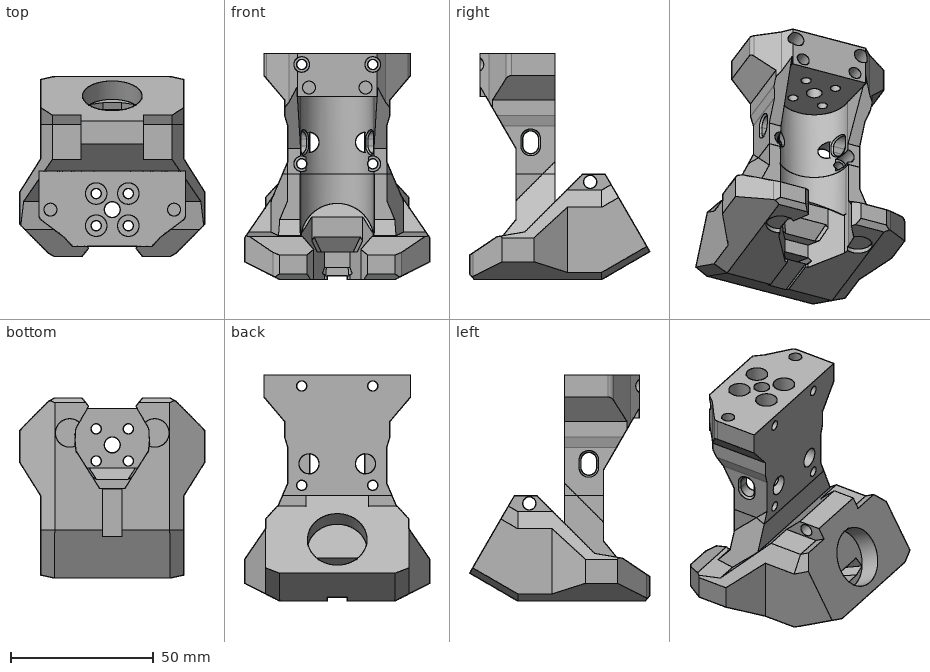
import cadquery as cq
import math

TOP_Z = 79.35
SPLIT_Z = 37.0
BIG = 158.7
SWEEP_RUN = 31.75

COLUMN_BACK_Y = 13.5
COLUMN_FRONT_Y = -0.2
COLUMN_HALF = 17.4
COLUMN_ROOT_Z = 11.9
FOOT_TOP_Z = 21.1
FOOT_DEPTH = 5.55
FOOT_DROP = 6.8
FLARE_TOP_Z = 41.4
FLARE_DROP = 20.6
FLARE_SPREAD = 8.7
BORE_R = 12.85
MOUTH_HALF = 14.2

PLATE_HALF = 25.7
PLATE_FRONT_Y = -12.85
PLATE_FRONT_HALF = 14.0
PLATE_CORNER_Y = -3.0
PLATE_CORNER_R = 2.4
PLATE_KNEE = (16.9, -9.7)
PLATE_SIDE_Z = 71.6
NECK_HALF = 18.5
NECK_TOP_Z = 63.0
NECK_LOW_Z = 57.5
COLUMN_TOP_Z = 53.9
BORE_TOP_Z = 64.2
SLANT_LOW_Z = 45.95
SLANT_ANGLE = 60.0

MOTOR_PITCH = 11.3
MOTOR_SCREW_D = 3.5
MOTOR_HEAD_D = 7.5
MOTOR_FLOOR = 5.95
CENTER_HOLE_D = 5.5
INSERT_D = 4.5
INSERT_DEPTH = 6.35
PLATE_INSERT_X = 21.7
FRONT_INSERT_X = 9.9
FRONT_INSERT_Z = 67.4

MOUNT_X = 12.45
MOUNT_ZS = (75.5, 40.6)
MOUNT_SCREW_D = 3.5
MOUNT_HEAD_D = 5.5
MOUNT_SEAT_Y = 6.6

WINDOW_Y = 4.9
WINDOW_Z = 48.2
WINDOW_W = 5.5
WINDOW_H = 7.9
WINDOW_OUTER_RIM = 0.7
WINDOW_BORE_RIM = 0.5
WINDOW_MARGIN = 0.4
REAR_POCKET_D = 7.0
REAR_POCKET_X = 9.9
REAR_POCKET_FLOOR_Y = 8.6

BASE_WIDTH = 65.0
BASE_HALF = BASE_WIDTH / 2
TAIL_HALF = 25.15
BOTTOM_HALF = 20.15
SIDE_LOW_Z = 6.3
SIDE_HIGH_Z = 14.7
SHOULDER_HALF = 21.0
SHOULDER_Z = 31.4
LUG_HALF = 11.0
BASE_FRONT_Y = -16.5
FRONT_LOW_Z = 2.0
FRONT_LOW_RUN = 1.7
FRONT_HIGH_Z = 8.65
ARM_CREST = (-6.9, 15.1)
SLOPE_FOOT = (2.85, 16.75)
TAIL_START_Y = 17.8
CHEEK_START_Y = 6.1
CHEEK_END_Y = -5.1
ARM_CORNER = (22.45, -15.2)
ARM_TIP_OUTER = 20.3
BEND_Y = 29.8
TAIL_ANGLE = 30.0
TAIL_TIP = (46.7, 9.8)
LUG_HOLE_Y = 25.8
LUG_HOLE_Z = 34.3

SLOT_BACK_HALF = 4.45
SLOT_BACK_Y = 15.2
SLOT_HALF = 13.1
SLOT_KNEE = (12.6, 2.2)
SLOT_BEND = (12.8, -5.8)
SLOT_THROAT = (8.25, -13.6)
SLOT_MOUTH_HALF = 10.6
LIP_Y = 8.1
LIP_Z = 14.9
TUNNEL_KNEE_Y = 12.1
TUNNEL_Z = 9.7
TUNNEL_CHAMFER = 0.8

ARM_POCKET_X = 14.9
ARM_POCKET_Y = -4.2
ARM_POCKET_R = 5.0
ARM_POCKET_DEPTH = 1.75

FAN_D = 20.9
FAN_Y = 39.9
FAN_DEPTH = 7.45
DUCT_INLET = [(3.2, -8.1), (7.7, -6.9), (6.75, -3.2)]
DUCT_OUTLET = [(4.1, 0.8), (5.2, 2.2), (4.4, 3.6)]
DUCT_OUTLET_Y = 14.1
GROOVE_HALF = 3.5
GROOVE_DEPTH = 1.35


def mirrored(half_outline):
    """Close an outline given along its +X half by mirroring it in X = 0."""
    return half_outline + [(-x, v) for x, v in reversed(half_outline)]


def plan_prism(points, low_z, high_z):
    """Extrude an (X, Y) outline upright."""
    return cq.Workplane("XY").workplane(offset=low_z).polyline(points).close().extrude(high_z - low_z)


def side_prism(points, half_width):
    """Extrude a (Y, Z) outline across the part."""
    return cq.Workplane("YZ").polyline(points).close().extrude(half_width, both=True)


def front_prism(points, start_y, end_y):
    """Extrude an (X, Z) outline along Y from start_y to end_y."""
    plane = cq.Workplane("XZ", origin=(0, start_y, 0))
    return plane.polyline(points).close().extrude(start_y - end_y)


def skew_prism(points, start_y, direction):
    """Sweep an (X, Z) outline at start_y straight along a direction that need not be square to it."""
    wire = cq.Wire.makePolygon([cq.Vector(x, start_y, z) for x, z in points], close=True)
    return cq.Workplane(obj=cq.Solid.extrudeLinear(wire, [], cq.Vector(*direction)))


def rod_y(diameter, x, z, start_y, end_y):
    """Round rod along Y."""
    start = cq.Vector(x, start_y, z)
    along_y = cq.Vector(0, 1, 0)
    return cq.Workplane(obj=cq.Solid.makeCylinder(diameter / 2, end_y - start_y, start, along_y))


def make_flare():
    """Side flare that widens the column downward, running along the 45 degree back slope."""
    outline = mirrored([
        (COLUMN_HALF, FLARE_TOP_Z),
        (COLUMN_HALF + FLARE_SPREAD, FLARE_TOP_Z - FLARE_DROP),
    ])
    return skew_prism(outline, COLUMN_BACK_Y, (0, -SWEEP_RUN, -SWEEP_RUN))


def make_bore(low_z, high_z):
    """Round motor bore."""
    return cq.Workplane("XY").workplane(offset=low_z).circle(BORE_R).extrude(high_z - low_z)


def mouth_outline():
    """Plan of the opening in front of the bore; it widens toward the front."""
    return mirrored([(BORE_R, 0), (MOUTH_HALF, PLATE_FRONT_Y)])


def plate_plan():
    """Plan of the top plate as a full height prism with rounded side corners."""
    outline = mirrored([
        (PLATE_HALF, COLUMN_BACK_Y),
        (PLATE_HALF, PLATE_CORNER_Y),
        PLATE_KNEE,
        (PLATE_FRONT_HALF, PLATE_FRONT_Y),
    ])
    prism = plan_prism(outline, SPLIT_Z, TOP_Z)
    corner = cq.selectors.BoxSelector(
        (-PLATE_HALF - 0.8, PLATE_CORNER_Y - 0.8, SPLIT_Z), (PLATE_HALF + 0.8, PLATE_CORNER_Y + 0.8, TOP_Z))
    return prism.edges("|Z").edges(corner).fillet(PLATE_CORNER_R)


def head_front_profile():
    """(X, Z) outline: column, neck and plate."""
    return mirrored([
        (COLUMN_HALF, SPLIT_Z),
        (COLUMN_HALF, COLUMN_TOP_Z),
        (NECK_HALF, NECK_LOW_Z),
        (NECK_HALF, NECK_TOP_Z),
        (PLATE_HALF, PLATE_SIDE_Z),
        (PLATE_HALF, TOP_Z),
    ])


def head_side_profile():
    """(Y, Z) outline with the front face leaning forward."""
    reach = COLUMN_FRONT_Y - PLATE_FRONT_Y
    slant_top_z = SLANT_LOW_Z + reach * math.tan(math.radians(SLANT_ANGLE))
    return [
        (COLUMN_BACK_Y, SPLIT_Z),
        (COLUMN_FRONT_Y, SPLIT_Z),
        (COLUMN_FRONT_Y, SLANT_LOW_Z),
        (PLATE_FRONT_Y, slant_top_z),
        (PLATE_FRONT_Y, TOP_Z),
        (COLUMN_BACK_Y, TOP_Z),
    ]


def cut_plate_holes(head):
    """Motor screws, shaft hole and threaded inserts in the top and front faces."""
    top = cq.Workplane("XY", origin=(0, 0, TOP_Z))
    half = MOTOR_PITCH / 2
    corners = [(sx * half, sy * half) for sx in (-1, 1) for sy in (-1, 1)]
    thickness = TOP_Z - BORE_TOP_Z
    head = head.cut(top.pushPoints(corners).circle(MOTOR_SCREW_D / 2).extrude(-thickness))
    head = head.cut(top.pushPoints(corners).circle(MOTOR_HEAD_D / 2).extrude(MOTOR_FLOOR - thickness))
    head = head.cut(top.circle(CENTER_HOLE_D / 2).extrude(-thickness))
    for side in (-1, 1):
        insert = top.center(side * PLATE_INSERT_X, 0).circle(INSERT_D / 2).extrude(-INSERT_DEPTH)
        head = head.cut(insert)
        head = head.cut(rod_y(INSERT_D, side * FRONT_INSERT_X, FRONT_INSERT_Z,
                              PLATE_FRONT_Y, PLATE_FRONT_Y + INSERT_DEPTH))
    return head


def cut_mount_holes(head):
    """Counterbored screws that run front to back through the head."""
    for side in (-1, 1):
        for z in MOUNT_ZS:
            head = head.cut(rod_y(MOUNT_SCREW_D, side * MOUNT_X, z, PLATE_FRONT_Y, COLUMN_BACK_Y))
            head = head.cut(rod_y(MOUNT_HEAD_D, side * MOUNT_X, z, PLATE_FRONT_Y, MOUNT_SEAT_Y))
    return head


def chamfer_window_rim(head, start_x, end_x, size):
    """Chamfer the window edges that lie between two X positions."""
    half_y = WINDOW_W / 2 + WINDOW_MARGIN
    half_z = WINDOW_H / 2 + WINDOW_MARGIN
    around_window = cq.selectors.BoxSelector(
        (min(start_x, end_x), WINDOW_Y - half_y, WINDOW_Z - half_z),
        (max(start_x, end_x), WINDOW_Y + half_y, WINDOW_Z + half_z), boundingbox=True)
    return head.edges(around_window).edges("not |X").chamfer(size)


def cut_windows(head):
    """Slots through both sides of the column, chamfered at the outer face and at the bore."""
    window = cq.Workplane("YZ").center(WINDOW_Y, WINDOW_Z).slot2D(WINDOW_H, WINDOW_W, 90)
    head = head.cut(window.extrude(BIG, both=True))
    reach = COLUMN_HALF + WINDOW_MARGIN
    between_x = (COLUMN_HALF + BORE_R) / 2
    for side in (-1, 1):
        head = chamfer_window_rim(head, side * between_x, side * reach, WINDOW_OUTER_RIM)
        head = chamfer_window_rim(head, 0, side * between_x, WINDOW_BORE_RIM)
    return head


def cut_rear_pockets(head):
    """Round pockets in the back face whose inner halves break into the bore."""
    for side in (-1, 1):
        head = head.cut(rod_y(REAR_POCKET_D, side * REAR_POCKET_X, WINDOW_Z,
                              REAR_POCKET_FLOOR_Y, COLUMN_BACK_Y))
    return head


def make_head():
    """Motor plate on top of the bored column."""
    plan = plate_plan()
    column = front_prism(head_front_profile(), COLUMN_BACK_Y, PLATE_FRONT_Y)
    upper_flare = make_flare().intersect(plan_prism(mirrored([(BIG, -BIG), (BIG, BIG)]), SPLIT_Z, TOP_Z))
    column = column.intersect(plan).union(upper_flare)
    head = column.intersect(side_prism(head_side_profile(), BIG))
    head = head.cut(make_bore(SPLIT_Z, BORE_TOP_Z))
    head = head.cut(plan_prism(mouth_outline(), SPLIT_Z, BORE_TOP_Z))
    front_panel = plan_prism(mouth_outline(), BORE_TOP_Z, TOP_Z).intersect(plan)
    head = head.union(front_panel)
    head = cut_windows(head)
    return cut_rear_pockets(cut_mount_holes(cut_plate_holes(head)))


def base_side_profile():
    """(Y, Z) outline of the base block."""
    tip_y, tip_z = TAIL_TIP
    lug_back_y = tip_y - (SPLIT_Z - tip_z) * math.tan(math.radians(TAIL_ANGLE))
    return [
        (BASE_FRONT_Y + FRONT_LOW_RUN, 0),
        (BEND_Y, 0),
        TAIL_TIP,
        (lug_back_y, SPLIT_Z),
        (SLOPE_FOOT[0] + SPLIT_Z - SLOPE_FOOT[1], SPLIT_Z),
        SLOPE_FOOT,
        ARM_CREST,
        (BASE_FRONT_Y, FRONT_HIGH_Z),
        (BASE_FRONT_Y, FRONT_LOW_Z),
    ]


def base_plan():
    """(X, Y) outline of the base block without the slot."""
    return mirrored([
        (TAIL_HALF, BIG),
        (TAIL_HALF, TAIL_START_Y),
        (BASE_HALF, CHEEK_START_Y),
        (BASE_HALF, CHEEK_END_Y),
        ARM_CORNER,
        (ARM_TIP_OUTER, BASE_FRONT_Y),
    ])


def make_block():
    """Base block: a stepped section that bends upward behind BEND_Y, trimmed in plan and from the side."""
    section = mirrored([
        (BOTTOM_HALF, 0),
        (BASE_HALF, SIDE_LOW_Z),
        (BASE_HALF, SIDE_HIGH_Z),
        (SHOULDER_HALF, SHOULDER_Z),
    ])
    rise = SWEEP_RUN * math.tan(math.radians(TAIL_ANGLE))
    block = front_prism(section, BASE_FRONT_Y, BEND_Y)
    block = block.union(skew_prism(section, BEND_Y, (0, SWEEP_RUN, rise)))
    lug = plan_prism(mirrored([(LUG_HALF, 0), (LUG_HALF, TAIL_TIP[0])]), SHOULDER_Z / 2, SPLIT_Z)
    block = block.union(lug)
    block = block.intersect(side_prism(base_side_profile(), BIG))
    block = block.intersect(plan_prism(base_plan(), 0, SPLIT_Z))
    return block


def make_lower_column():
    """Flared and bored lower part of the column, with its sloped foot."""
    profile = [
        (COLUMN_BACK_Y, COLUMN_ROOT_Z),
        (COLUMN_FRONT_Y - FOOT_DEPTH, COLUMN_ROOT_Z),
        (COLUMN_FRONT_Y - FOOT_DEPTH, FOOT_TOP_Z - FOOT_DROP),
        (COLUMN_FRONT_Y, FOOT_TOP_Z),
        (COLUMN_FRONT_Y, SPLIT_Z),
        (COLUMN_BACK_Y, SPLIT_Z),
    ]
    straight = front_prism(mirrored([(COLUMN_HALF, COLUMN_ROOT_Z), (COLUMN_HALF, SPLIT_Z)]),
                           COLUMN_BACK_Y, COLUMN_FRONT_Y - FOOT_DEPTH)
    column = straight.union(make_flare()).intersect(side_prism(profile, BIG))
    return column.cut(make_bore(COLUMN_ROOT_Z, SPLIT_Z))


def make_slot():
    """Slot between the arms: open in front of the lip, a low tunnel under it."""
    outline = mirrored([
        (SLOT_BACK_HALF, SLOT_BACK_Y),
        SLOT_KNEE,
        (SLOT_HALF, COLUMN_FRONT_Y),
        SLOT_BEND,
        SLOT_THROAT,
        (SLOT_MOUTH_HALF, BASE_FRONT_Y),
    ])
    full = plan_prism(outline, 0, SPLIT_Z)
    open_part = full.intersect(side_prism(
        [(BASE_FRONT_Y, 0), (LIP_Y, 0), (LIP_Y, SPLIT_Z), (BASE_FRONT_Y, SPLIT_Z)], BIG))
    tunnel = full.intersect(side_prism([
        (LIP_Y, 0),
        (SLOT_BACK_Y, 0),
        (SLOT_BACK_Y, TUNNEL_Z),
        (TUNNEL_KNEE_Y, TUNNEL_Z),
        (LIP_Y, LIP_Z),
    ], BIG))
    ceiling_middle_y = (LIP_Y + TUNNEL_KNEE_Y) / 2
    ceiling_edges = tunnel.edges(cq.selectors.BoxSelector(
        (-SLOT_HALF, ceiling_middle_y - 0.8, TUNNEL_Z), (SLOT_HALF, ceiling_middle_y + 0.8, LIP_Z)))
    return open_part.union(ceiling_edges.chamfer(TUNNEL_CHAMFER))


def fan_plane(depth):
    """Plane parallel to the tail face; local x is -X and local y runs up the face."""
    tip_y, tip_z = TAIL_TIP
    angle = math.radians(TAIL_ANGLE)
    face_z = tip_z + (tip_y - FAN_Y) / math.tan(angle)
    origin = (0, FAN_Y - depth * math.cos(angle), face_z - depth * math.sin(angle))
    return cq.Plane(origin=origin, xDir=(-1, 0, 0), normal=(0, math.cos(angle), math.sin(angle)))


def cut_air_path(base):
    """Fan bore in the tail face, the duct to the slot and the groove under the duct."""
    base = base.cut(cq.Workplane(fan_plane(0)).circle(FAN_D / 2).extrude(-FAN_DEPTH))
    inlet_plane = fan_plane(FAN_DEPTH)
    inlet_points = [inlet_plane.toWorldCoords((-x, up)) for x, up in mirrored(DUCT_INLET)]
    outlet_points = [cq.Vector(x, DUCT_OUTLET_Y, z) for x, z in mirrored(DUCT_OUTLET)]
    inlet_wire = cq.Wire.makePolygon(inlet_points, close=True)
    outlet_wire = cq.Wire.makePolygon(outlet_points, close=True)
    base = base.cut(cq.Workplane(obj=cq.Solid.makeLoft([inlet_wire, outlet_wire], True)))
    groove = plan_prism(mirrored([(GROOVE_HALF, 0), (GROOVE_HALF, TAIL_TIP[0])]), 0, GROOVE_DEPTH)
    return base.cut(groove)


def cut_arm_pockets(base):
    """Shallow round pockets in the underside that break into the inner wall of each arm."""
    for side in (-1, 1):
        pocket = cq.Workplane("XY").center(side * ARM_POCKET_X, ARM_POCKET_Y).circle(ARM_POCKET_R)
        base = base.cut(pocket.extrude(ARM_POCKET_DEPTH))
    return base


def make_base():
    """Base block with two arms, rear lug and the lower column."""
    base = make_block().union(make_lower_column()).cut(make_slot())
    lug_hole = cq.Workplane("YZ").center(LUG_HOLE_Y, LUG_HOLE_Z).circle(INSERT_D / 2).extrude(BIG, both=True)
    base = base.cut(lug_hole)
    return cut_arm_pockets(cut_air_path(base))


head = make_head()
base = make_base()
result = cq.Compound.makeCompound([base.val(), head.val()])